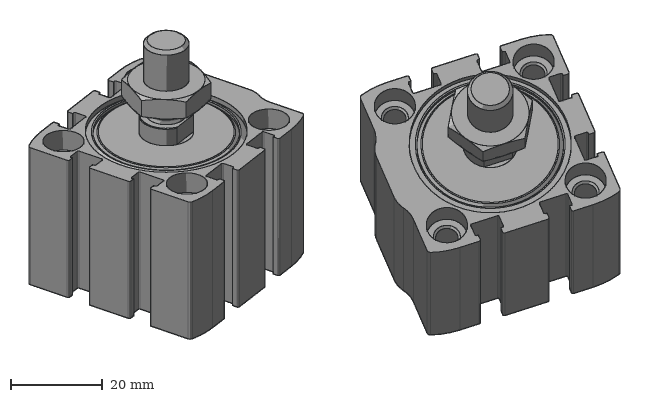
import cadquery as cq
import math

TOTAL_HEIGHT = 58.0
HOUSING_HEIGHT = 35.0
HALF_WIDTH = 22.5

FLAT_HALF_LENGTH = 15.55
SIDE_CURVE_RADIUS = 19.7
CORNER_RADIUS = 0.85
BUMP_HEIGHT = 2.0
BUMP_FLAT_HALF_WIDTH = 5.35
BUMP_FLANK_WIDTH = 6.95

SLOT_OFFSET = 8.0
SLOT_MOUTH_WIDTH = 5.2
SLOT_INNER_WIDTH = 6.6
SLOT_LIP = 1.55
SLOT_DEPTH = 4.7
SLOTTED_SIDE_ANGLES = (-90, 0, 90)
SLOT_INNER_RADIUS = 0.3
SLOT_MOUTH_RADIUS = 0.4

HOLE_OFFSET = 16.2
HOLE_DIAMETER = 4.95
COUNTERBORE_DIAMETER = 9.0
COUNTERBORE_DEPTH = 5.0
HOLE_MOUTH_DIAMETER = 5.9

COVER_RADIUS = 14.85
COVER_DEPTH = 0.3
COVER_EDGE_RADIUS = 15.15
COVER_EDGE_DEPTH = 0.4
INNER_GROOVE_RADIUS = 16.0
INNER_GROOVE_DEPTH = 1.15
RIDGE_INNER_DEPTH = 0.45
RIDGE_RADIUS = 16.35
RIDGE_DEPTH = 0.35
OUTER_GROOVE_RADIUS = 17.7
OUTER_GROOVE_DEPTH = 1.2

ROD_DIAMETER = 12.0
ROD_INSERTION = 11.6
COVER_Z = HOUSING_HEIGHT - COVER_DEPTH
ROD_BOTTOM_Z = COVER_Z - ROD_INSERTION
ROD_FLATS_WIDTH = 10.0
ROD_SHOULDER_Z = 39.05
ROD_SHOULDER_CHAMFER = 0.2
THREAD_DIAMETER = 10.0
THREAD_START_Z = 41.1
THREAD_CHAMFER = 0.8
UNDERCUT_DIAMETER = 8.1
UNDERCUT_FOOT_DIAMETER = 8.65
UNDERCUT_TOP_Z = 40.1
UNDERCUT_BOTTOM_Z = 39.85

NUT_SIDES = 6
NUT_ACROSS_FLATS = 17.0
NUT_HEIGHT = 5.0
NUT_BOTTOM_Z = 43.0
NUT_FACE_DIAMETER = 16.95
NUT_CORNER_DROP = 0.45


def turned(outline):
    """Solid of revolution about the Z axis from a closed outline of (radius, z) points."""
    return cq.Workplane("XZ").polyline(outline).close().revolve(360, (0, 0), (0, 1))


def housing_blank():
    """Square block with curved sides near the corners and a pad on the +Y side."""
    curve_length = HALF_WIDTH - FLAT_HALF_LENGTH

    def side_x(distance):
        """X of the curved side at a distance past the end of its straight part."""
        return HALF_WIDTH - SIDE_CURVE_RADIUS + math.sqrt(SIDE_CURVE_RADIUS**2 - distance**2)

    corner_x = side_x(curve_length)
    middle_x = side_x(curve_length / 2)
    middle_y = FLAT_HALF_LENGTH + curve_length / 2
    block = (
        cq.Workplane("XY")
        .moveTo(-corner_x, -HALF_WIDTH)
        .lineTo(corner_x, -HALF_WIDTH)
        .threePointArc((middle_x, -middle_y), (HALF_WIDTH, -FLAT_HALF_LENGTH))
        .lineTo(HALF_WIDTH, FLAT_HALF_LENGTH)
        .threePointArc((middle_x, middle_y), (corner_x, HALF_WIDTH))
        .lineTo(-corner_x, HALF_WIDTH)
        .threePointArc((-middle_x, middle_y), (-HALF_WIDTH, FLAT_HALF_LENGTH))
        .lineTo(-HALF_WIDTH, -FLAT_HALF_LENGTH)
        .threePointArc((-middle_x, -middle_y), (-corner_x, -HALF_WIDTH))
        .close()
        .extrude(HOUSING_HEIGHT)
    )
    return block.edges("(>Y or <Y) and |Z").fillet(CORNER_RADIUS).union(bump())


def bump():
    """Pad on the +Y side whose flanks are two equal arcs meeting tangentially."""
    foot_x = BUMP_FLAT_HALF_WIDTH + BUMP_FLANK_WIDTH
    middle_x = BUMP_FLAT_HALF_WIDTH + BUMP_FLANK_WIDTH / 2
    top_y = HALF_WIDTH + BUMP_HEIGHT
    middle_y = HALF_WIDTH + BUMP_HEIGHT / 2
    half_chord = math.hypot(BUMP_FLANK_WIDTH, BUMP_HEIGHT) / 4
    chord_slope = math.atan2(BUMP_HEIGHT, BUMP_FLANK_WIDTH)
    sagitta = half_chord * math.tan(chord_slope / 2)
    return (
        cq.Workplane("XY")
        .moveTo(-foot_x, HALF_WIDTH)
        .sagittaArc((-middle_x, middle_y), -sagitta)
        .sagittaArc((-BUMP_FLAT_HALF_WIDTH, top_y), sagitta)
        .lineTo(BUMP_FLAT_HALF_WIDTH, top_y)
        .sagittaArc((middle_x, middle_y), sagitta)
        .sagittaArc((foot_x, HALF_WIDTH), -sagitta)
        .lineTo(foot_x, 0)
        .lineTo(-foot_x, 0)
        .close()
        .extrude(HOUSING_HEIGHT)
    )


def t_slot(offset, angle):
    """Cutter for one slot: drawn in the -Y side, then turned about the axis to its own side."""
    wide_depth = SLOT_DEPTH - SLOT_LIP
    wide_y = -HALF_WIDTH + SLOT_LIP + wide_depth / 2
    wide_part = (
        cq.Workplane("XY")
        .center(offset, wide_y)
        .rect(SLOT_INNER_WIDTH, wide_depth)
        .extrude(HOUSING_HEIGHT)
        .edges("|Z")
        .fillet(SLOT_INNER_RADIUS)
    )
    half_mouth = SLOT_MOUTH_WIDTH / 2
    half_flare = half_mouth + SLOT_MOUTH_RADIUS
    mouth = (
        cq.Workplane("XY")
        .moveTo(offset - half_flare, -HALF_WIDTH)
        .radiusArc((offset - half_mouth, -HALF_WIDTH + SLOT_MOUTH_RADIUS), -SLOT_MOUTH_RADIUS)
        .lineTo(offset - half_mouth, wide_y)
        .lineTo(offset + half_mouth, wide_y)
        .lineTo(offset + half_mouth, -HALF_WIDTH + SLOT_MOUTH_RADIUS)
        .radiusArc((offset + half_flare, -HALF_WIDTH), -SLOT_MOUTH_RADIUS)
        .close()
        .extrude(HOUSING_HEIGHT)
    )
    return wide_part.union(mouth).rotate((0, 0, 0), (0, 0, 1), angle)


def mounting_hole(x, y):
    """Cutter for one stepped through hole: counterbore, 45 degree chamfer and bore."""
    hole_radius = HOLE_DIAMETER / 2
    mouth_radius = HOLE_MOUTH_DIAMETER / 2
    counterbore_radius = COUNTERBORE_DIAMETER / 2
    floor_z = HOUSING_HEIGHT - COUNTERBORE_DEPTH
    return turned([
        (0, 0),
        (hole_radius, 0),
        (hole_radius, floor_z - (mouth_radius - hole_radius)),
        (mouth_radius, floor_z),
        (counterbore_radius, floor_z),
        (counterbore_radius, HOUSING_HEIGHT),
        (0, HOUSING_HEIGHT),
    ]).translate((x, y, 0))


def cover_recess():
    """Cutter for the sunken cover face, the ridge around it and the groove on each side of the ridge."""
    def below_top(radius, depth):
        return (radius, HOUSING_HEIGHT - depth)

    return turned([
        below_top(0, 0),
        below_top(0, COVER_DEPTH),
        below_top(COVER_RADIUS, COVER_DEPTH),
        below_top(COVER_EDGE_RADIUS, COVER_EDGE_DEPTH),
        below_top(INNER_GROOVE_RADIUS, INNER_GROOVE_DEPTH),
        below_top(INNER_GROOVE_RADIUS, RIDGE_INNER_DEPTH),
        below_top(RIDGE_RADIUS, RIDGE_DEPTH),
        below_top(OUTER_GROOVE_RADIUS, OUTER_GROOVE_DEPTH),
        below_top(OUTER_GROOVE_RADIUS, 0),
    ])


def make_housing():
    housing = housing_blank()
    for angle in SLOTTED_SIDE_ANGLES:
        for offset in (-SLOT_OFFSET, SLOT_OFFSET):
            housing = housing.cut(t_slot(offset, angle))
    for x in (-HOLE_OFFSET, HOLE_OFFSET):
        for y in (-HOLE_OFFSET, HOLE_OFFSET):
            housing = housing.cut(mounting_hole(x, y))
    rod_bore = (
        cq.Workplane("XY")
        .workplane(offset=ROD_BOTTOM_Z)
        .circle(ROD_DIAMETER / 2)
        .extrude(ROD_INSERTION)
    )
    return housing.cut(cover_recess()).cut(rod_bore)


def make_rod():
    """Rod with two wrench flats, an undercut and a plain cylinder in place of the thread."""
    rod_radius = ROD_DIAMETER / 2
    thread_radius = THREAD_DIAMETER / 2
    chamfered_radius = thread_radius - THREAD_CHAMFER
    undercut_radius = UNDERCUT_DIAMETER / 2
    rod = turned([
        (0, ROD_BOTTOM_Z),
        (rod_radius, ROD_BOTTOM_Z),
        (rod_radius, ROD_SHOULDER_Z - ROD_SHOULDER_CHAMFER),
        (rod_radius - ROD_SHOULDER_CHAMFER, ROD_SHOULDER_Z),
        (UNDERCUT_FOOT_DIAMETER / 2, ROD_SHOULDER_Z),
        (undercut_radius, UNDERCUT_BOTTOM_Z),
        (undercut_radius, UNDERCUT_TOP_Z),
        (chamfered_radius, THREAD_START_Z - THREAD_CHAMFER),
        (thread_radius, THREAD_START_Z),
        (thread_radius, TOTAL_HEIGHT - THREAD_CHAMFER),
        (chamfered_radius, TOTAL_HEIGHT),
        (0, TOTAL_HEIGHT),
    ])
    flat_depth = (ROD_DIAMETER - ROD_FLATS_WIDTH) / 2
    flats = (
        cq.Workplane("XY")
        .workplane(offset=COVER_Z)
        .pushPoints([(side * (ROD_FLATS_WIDTH + flat_depth) / 2, 0) for side in (-1, 1)])
        .rect(flat_depth, ROD_DIAMETER)
        .extrude(ROD_SHOULDER_Z - COVER_Z)
    )
    return rod.cut(flats)


def make_nut():
    """Hexagonal nut with corners on the Y axis and both ends chamfered to a round face."""
    corner_radius = NUT_ACROSS_FLATS / 2 / math.cos(math.pi / NUT_SIDES)
    face_radius = NUT_FACE_DIAMETER / 2
    hexagon = (
        cq.Workplane("XY")
        .polygon(NUT_SIDES, 2 * corner_radius)
        .extrude(NUT_HEIGHT)
        .rotate((0, 0, 0), (0, 0, 1), 180 / NUT_SIDES)
    )
    chamfer_envelope = turned([
        (0, 0),
        (face_radius, 0),
        (corner_radius, NUT_CORNER_DROP),
        (corner_radius, NUT_HEIGHT - NUT_CORNER_DROP),
        (face_radius, NUT_HEIGHT),
        (0, NUT_HEIGHT),
    ])
    bore = cq.Workplane("XY").circle(THREAD_DIAMETER / 2).extrude(NUT_HEIGHT)
    return hexagon.intersect(chamfer_envelope).cut(bore).translate((0, 0, NUT_BOTTOM_Z))


housing = make_housing()
rod = make_rod()
nut = make_nut()

result = cq.Compound.makeCompound([housing.val(), rod.val(), nut.val()])